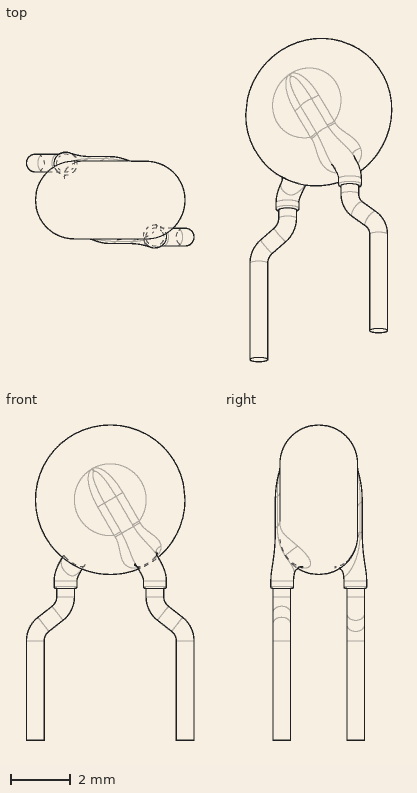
import math

import cadquery as cq

disc_diameter = 5.0
disc_thickness = 2.6

lead_diameter = 0.6
lead_pitch = 5.0
lead_offset_y = 1.235
leg_bottom_z = -8.03
leg_top_z = -4.71
bend_radius = 0.7
bend_angle = math.radians(52)

coat_diameter = 0.77
coat_tilt = math.radians(30)
coat_crest_y = 1.455
coat_straight_length = 1.16
coat_tip_length = 1.4
coat_tip_radius = 3.9
coat_blend_radius = 0.45

collar_pull = 0.6
straight_pull = 1.8

collar_x = 1.49
collar_y = 1.22
collar_top_z = -2.71
collar_bottom_z = -2.96
collar_rounding = 0.06

contact_tolerance = 0.002
edge_sample_shares = (0.2, 0.5, 0.8)

disc_radius = disc_diameter / 2
lead_radius = lead_diameter / 2
leg_x = lead_pitch / 2
coat_radius = coat_diameter / 2
coat_axis_y = coat_crest_y - coat_radius


def make_disc():
    """Disc with a fully rounded rim, revolved about Y."""
    half_thickness = disc_thickness / 2
    flat_radius = disc_radius - half_thickness
    return (
        cq.Workplane("XY")
        .moveTo(0, -half_thickness)
        .lineTo(flat_radius, -half_thickness)
        .threePointArc((disc_radius, 0), (flat_radius, half_thickness))
        .lineTo(0, half_thickness)
        .close()
        .revolve(360, (0, 0, 0), (0, 1, 0))
    )


def tilted_point(distance, y):
    """Point at a signed distance down the tilted line through the disc centre."""
    return cq.Vector(distance * math.sin(coat_tilt), y, -distance * math.cos(coat_tilt))


def make_coat():
    """Round coating: sinks into the disc at its tip, bends to vertical at its collar."""
    collar_bottom = cq.Vector(collar_x, -collar_y, collar_bottom_z)
    collar_top = cq.Vector(collar_x, -collar_y, collar_top_z)
    straight_end = tilted_point(coat_straight_length, -coat_axis_y)
    straight_start = tilted_point(0, -coat_axis_y)

    def tip_point(distance):
        sink = coat_tip_radius - math.sqrt(coat_tip_radius**2 - distance**2)
        return tilted_point(-distance, sink - coat_axis_y)

    bend_tangents = [cq.Vector(0, 0, collar_pull), tilted_point(-straight_pull, 0)]
    path = cq.Wire.assembleEdges([
        cq.Edge.makeLine(collar_bottom, collar_top),
        cq.Edge.makeSpline([collar_top, straight_end], tangents=bend_tangents, scale=False),
        cq.Edge.makeLine(straight_end, straight_start),
        cq.Edge.makeThreePointArc(straight_start, tip_point(coat_tip_length / 2), tip_point(coat_tip_length)),
    ])
    return (
        cq.Workplane("XY", origin=collar_bottom.toTuple())
        .circle(coat_radius)
        .sweep(cq.Workplane(path))
        .faces("<Z")
        .edges()
        .fillet(collar_rounding)
    )


def make_lead():
    """Wire with a vertical leg that jogs inward to the collar."""
    bend_x = bend_radius * (1 - math.cos(bend_angle))
    bend_z = bend_radius * math.sin(bend_angle)
    mid_x = bend_radius * (1 - math.cos(bend_angle / 2))
    mid_z = bend_radius * math.sin(bend_angle / 2)
    jog_x = leg_x - collar_x
    slope_z = (jog_x - 2 * bend_x) / math.tan(bend_angle)
    upper_bend_z = leg_top_z + 2 * bend_z + slope_z
    path = (
        cq.Workplane("XZ", origin=(0, -lead_offset_y, 0))
        .moveTo(leg_x, leg_bottom_z)
        .lineTo(leg_x, leg_top_z)
        .threePointArc((leg_x - mid_x, leg_top_z + mid_z), (leg_x - bend_x, leg_top_z + bend_z))
        .lineTo(collar_x + bend_x, upper_bend_z - bend_z)
        .threePointArc((collar_x + mid_x, upper_bend_z - mid_z), (collar_x, upper_bend_z))
        .lineTo(collar_x, collar_top_z)
    )
    return (
        cq.Workplane("XY", origin=(leg_x, -lead_offset_y, leg_bottom_z))
        .circle(lead_radius)
        .sweep(path)
    )


def turned(shape):
    """The same shape turned half way round Z, for the opposite side of the disc."""
    return shape.rotate((0, 0, 0), (0, 0, 1), 180)


def touches(point, shape):
    """Whether a point lies on the surface of a shape."""
    vertex = cq.Vertex.makeVertex(*point.toTuple())
    return vertex.distance(cq.Compound.makeCompound(shape.faces().vals())) < contact_tolerance


def make_coated_disc():
    """Disc with a coating on each face, blended along the lines where they meet it."""
    disc = make_disc()
    coat = make_coat()
    coats = [coat, turned(coat)]
    joined = disc.union(coats[0]).union(coats[1]).val()
    meeting_edges = []
    for edge in joined.Edges():
        samples = [edge.positionAt(share) for share in edge_sample_shares]
        for coat in coats:
            if all(touches(point, disc) and touches(point, coat) for point in samples):
                meeting_edges.append(edge)
    return cq.Workplane(joined.fillet(coat_blend_radius, meeting_edges))


lead = make_lead()
result = make_coated_disc().union(lead).union(turned(lead))